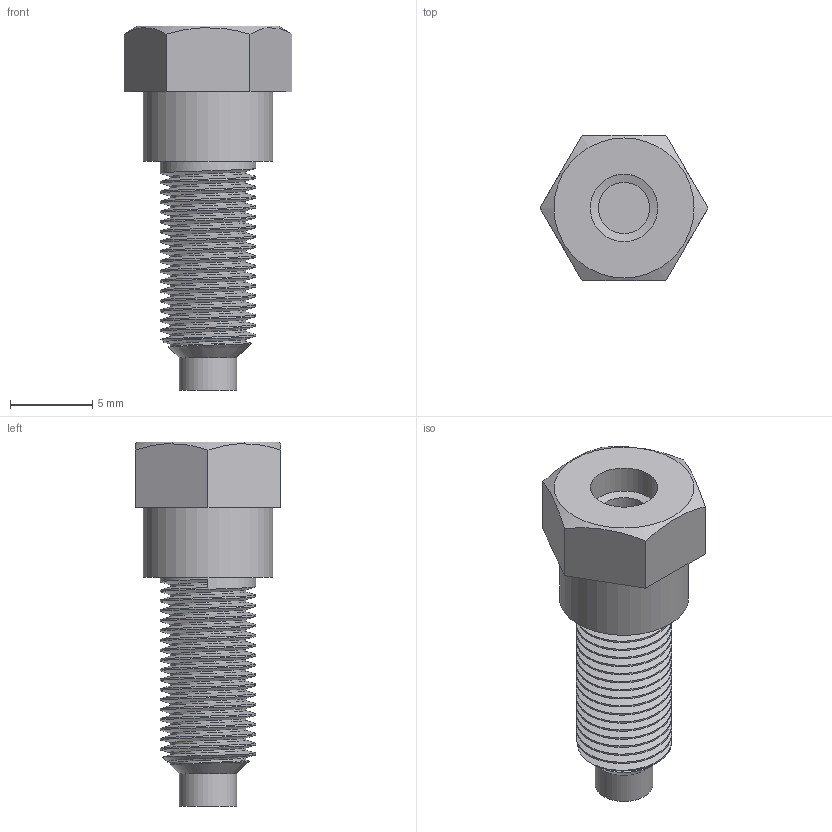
import cadquery as cq
import math

total_height = 22.1
head_height = 4.0
collar_height = 4.2
pin_length = 1.95
head_base_z = total_height - head_height
collar_base_z = head_base_z - collar_height

collar_diameter = 7.86
thread_diameter = 5.8
pin_diameter = 3.5

across_flats = 8.83
across_corners = across_flats / math.cos(math.radians(30))
head_face_diameter = 8.5
head_chamfer_angle = 30

bore_diameter = 4.1
bore_depth = 1.7
inner_bore_diameter = 3.11
bore_ledge_drop = 0.15
inner_bore_floor_z = head_base_z

pitch = 0.6
groove_depth = 0.6
groove_mouth = 0.5
groove_root = 0.15
groove_clearance = 0.05
groove_turns = 18.5
collar_to_groove = 0.39
groove_end_z = collar_base_z - collar_to_groove
groove_end_angle = 180


def make_head():
    """Hexagonal head with its top corners turned down to a cone."""
    base_plane = cq.Workplane("XY").workplane(offset=head_base_z)
    hexagon = base_plane.polygon(6, across_corners).extrude(head_height)
    corner_radius = across_corners / 2
    face_radius = head_face_diameter / 2
    corner_drop = (corner_radius - face_radius) * math.tan(math.radians(head_chamfer_angle))
    turned_blank = (
        cq.Workplane("XZ")
        .moveTo(0, head_base_z)
        .lineTo(corner_radius, head_base_z)
        .lineTo(corner_radius, total_height - corner_drop)
        .lineTo(face_radius, total_height)
        .lineTo(0, total_height)
        .close()
        .revolve(360, (0, 0, 0), (0, 1, 0))
    )
    return hexagon.intersect(turned_blank)


def make_shank():
    """Collar, unthreaded body with a 45 degree lead-in, and plain pin."""
    pin_radius = pin_diameter / 2
    body_radius = thread_diameter / 2
    collar_radius = collar_diameter / 2
    body_base_z = pin_length + body_radius - pin_radius
    return (
        cq.Workplane("XZ")
        .lineTo(pin_radius, 0)
        .lineTo(pin_radius, pin_length)
        .lineTo(body_radius, body_base_z)
        .lineTo(body_radius, collar_base_z)
        .lineTo(collar_radius, collar_base_z)
        .lineTo(collar_radius, head_base_z)
        .lineTo(0, head_base_z)
        .close()
        .revolve(360, (0, 0, 0), (0, 1, 0))
    )


def make_thread_groove():
    """Helical cutter that ends abruptly below the collar and runs out through the lead-in."""
    body_radius = thread_diameter / 2
    root_radius = body_radius - groove_depth
    outer_radius = body_radius + groove_clearance
    widening = (groove_mouth - groove_root) / groove_depth
    outer_width = groove_mouth + widening * groove_clearance
    length = groove_turns * pitch
    path = cq.Wire.makeHelix(pitch, length, body_radius)
    profile = (
        cq.Workplane("XZ")
        .moveTo(root_radius, -groove_root / 2)
        .lineTo(outer_radius, -outer_width / 2)
        .lineTo(outer_radius, outer_width / 2)
        .lineTo(root_radius, groove_root / 2)
        .close()
    )
    groove = profile.sweep(cq.Workplane(path), isFrenet=True)
    start_angle = groove_end_angle - 360 * groove_turns
    return groove.rotate((0, 0, 0), (0, 0, 1), start_angle).translate((0, 0, groove_end_z - length))


def make_bore():
    """Stepped hole with a sloping ledge between its two diameters."""
    bore_radius = bore_diameter / 2
    inner_radius = inner_bore_diameter / 2
    ledge_z = total_height - bore_depth
    return (
        cq.Workplane("XZ")
        .moveTo(0, inner_bore_floor_z)
        .lineTo(inner_radius, inner_bore_floor_z)
        .lineTo(inner_radius, ledge_z - bore_ledge_drop)
        .lineTo(bore_radius, ledge_z)
        .lineTo(bore_radius, total_height)
        .lineTo(0, total_height)
        .close()
        .revolve(360, (0, 0, 0), (0, 1, 0))
    )


threaded_shank = make_shank().cut(make_thread_groove())
result = threaded_shank.union(make_head()).cut(make_bore())